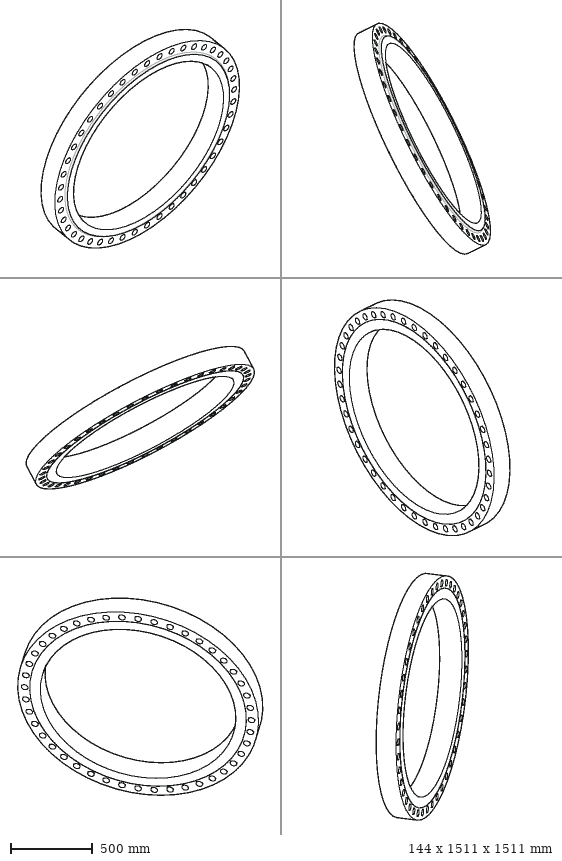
import cadquery as cq
import math

outer_diameter = 1511.0
bore_diameter = 1225.0
overall_width = 144.0

raised_face_diameter = 1359.0
raised_face_height = 1.7

hub_diameter = 1327.0
hub_height = 13.3
root_fillet = 9.0

bolt_count = 44
bolt_circle_diameter = 1422.0
bolt_hole_diameter = 41.0

flange_back = overall_width - hub_height


def ring_body():
    """Ring turned about the X axis from its half section above the axis."""
    bore_radius = bore_diameter / 2
    outer_radius = outer_diameter / 2
    raised_face_radius = raised_face_diameter / 2
    hub_radius = hub_diameter / 2
    arc_inset = root_fillet * (1 - math.sqrt(0.5))
    half_section = (
        cq.Workplane("XZ")
        .moveTo(0, bore_radius)
        .lineTo(0, raised_face_radius)
        .lineTo(raised_face_height, raised_face_radius)
        .lineTo(raised_face_height, outer_radius)
        .lineTo(flange_back, outer_radius)
        .lineTo(flange_back, hub_radius + root_fillet)
        .threePointArc(
            (flange_back + arc_inset, hub_radius + arc_inset),
            (flange_back + root_fillet, hub_radius),
        )
        .lineTo(overall_width, hub_radius)
        .lineTo(overall_width, bore_radius)
        .close()
    )
    return half_section.revolve(360, (0, 0, 0), (1, 0, 0))


def bolt_holes():
    """Through holes evenly spaced on the bolt circle, one of them straight up at +Z."""
    return (
        cq.Workplane("YZ")
        .polarArray(bolt_circle_diameter / 2, 90, 360, bolt_count)
        .circle(bolt_hole_diameter / 2)
        .extrude(overall_width)
    )


result = ring_body().cut(bolt_holes())